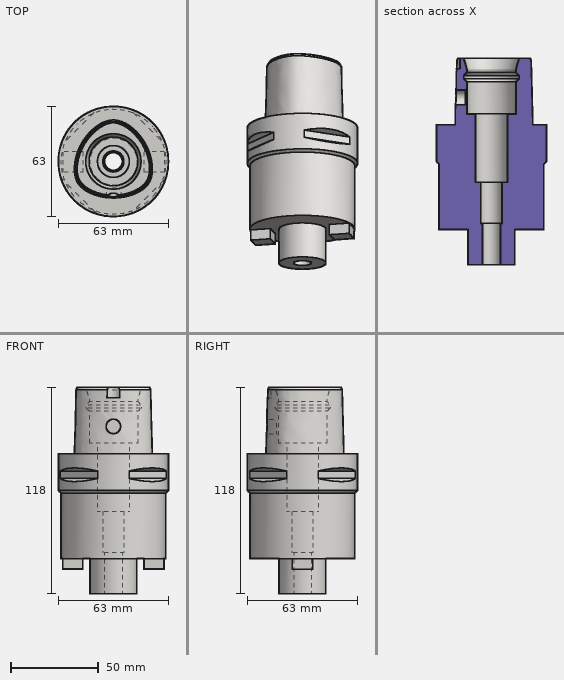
import cadquery as cq
import math

total_height = 118.0
pilot_height = 20.1
shank_height = 38.0
flange_bottom = 57.5
flange_top = total_height - shank_height

flange_radius = 31.5
body_radius = 30.0
pilot_radius = 13.5

shank_taper = 1 / 20
lobe_count = 3
shank_base_radius = 22.3
shank_lobe = 1.4
lobe_curve_points = 48
shank_top_radius = shank_base_radius - shank_height * shank_taper / 2
shank_chamfer_height = 1.4
shank_chamfer_width = 0.7

bore_mouth_radius = 15.8
bore_radius = 13.9
bore_taper_depth = 6.7
bore_lip_depth = 8.1
undercut_flat = 1.7
bore_depth = 31.9
screw_bore_radius = 9.1
screw_bore_depth = 70.8
seat_radius = 6.0
seat_depth = 94.4
through_radius = 5.1

groove_flat_distance = 27.7
groove_floor_height = 4.2
groove_mouth_height = 7.8
groove_drop = 12.0

notch_radius = 4.6
notch_depth = 6.0
notch_inner_y = -18.0
hole_diameter = 8.3
hole_drop = 22.4
hole_floor_y = -14.9

key_inner_x = 17.5
key_outer_x = 29.0
key_width = 11.8
key_height = 6.0


def lobed_wire(mean_radius, height):
    """Closed constant-width curve with its lobes spread evenly, one of them pointing to +Y."""

    points = []
    for step in range(lobe_curve_points):
        angle = 2 * math.pi * step / lobe_curve_points
        support = mean_radius + shank_lobe * math.cos(lobe_count * angle)
        slope = -lobe_count * shank_lobe * math.sin(lobe_count * angle)
        x = -support * math.sin(angle) - slope * math.cos(angle)
        y = support * math.cos(angle) - slope * math.sin(angle)
        points.append(cq.Vector(x, y, height))
    return cq.Wire.assembleEdges([cq.Edge.makeSpline(points, periodic=True)])


def make_shank():
    chamfer_start = total_height - shank_chamfer_height
    base = lobed_wire(shank_base_radius, flange_top)
    shoulder = lobed_wire(shank_top_radius, chamfer_start)
    tip = lobed_wire(shank_top_radius - shank_chamfer_width, total_height)
    return cq.Workplane(cq.Solid.makeLoft([base, shoulder, tip], True))


def make_round_body():
    flange_chamfer = flange_radius - body_radius
    outline = [
        (0, 0),
        (pilot_radius, 0),
        (pilot_radius, pilot_height),
        (body_radius, pilot_height),
        (body_radius, flange_bottom),
        (flange_radius, flange_bottom + flange_chamfer),
        (flange_radius, flange_top),
        (0, flange_top),
    ]
    return cq.Workplane("XZ").polyline(outline).close().revolve(360, (0, 0), (0, 1))


def make_bore():
    undercut_step = bore_mouth_radius - bore_radius
    undercut_top = bore_lip_depth + undercut_step
    undercut_bottom = undercut_top + undercut_flat
    steps = [
        (0, 0),
        (bore_mouth_radius, 0),
        (bore_radius, bore_taper_depth),
        (bore_radius, bore_lip_depth),
        (bore_mouth_radius, undercut_top),
        (bore_mouth_radius, undercut_bottom),
        (bore_radius, undercut_bottom + undercut_step),
        (bore_radius, bore_depth),
        (screw_bore_radius, bore_depth),
        (screw_bore_radius, screw_bore_depth),
        (seat_radius, screw_bore_depth),
        (seat_radius, seat_depth),
        (through_radius, seat_depth),
        (through_radius, total_height),
        (0, total_height),
    ]
    outline = [(radius, total_height - depth) for radius, depth in steps]
    return cq.Workplane("XZ").polyline(outline).close().revolve(360, (0, 0), (0, 1))


def make_gripper_groove(angle):
    """Straight V-sided groove tangent to the flange at the given angle from +X."""
    center = flange_top - groove_drop
    outline = [
        (groove_flat_distance, center - groove_floor_height / 2),
        (flange_radius, center - groove_mouth_height / 2),
        (flange_radius, center + groove_mouth_height / 2),
        (groove_flat_distance, center + groove_floor_height / 2),
    ]
    groove = cq.Workplane("XZ").polyline(outline).close().extrude(flange_radius, both=True)
    return groove.rotate((0, 0, 0), (0, 0, 1), angle)


def make_notch():
    return (
        cq.Workplane("XY", origin=(0, notch_inner_y - notch_radius, total_height))
        .circle(notch_radius)
        .extrude(-notch_depth)
    )


def make_blind_hole():
    return (
        cq.Workplane("XZ", origin=(0, hole_floor_y, total_height - hole_drop))
        .circle(hole_diameter / 2)
        .extrude(flange_radius)
    )


def make_key(side):
    key_length = key_outer_x - key_inner_x
    key_center = (key_inner_x + key_outer_x) / 2
    return (
        cq.Workplane("XY", origin=(side * key_center, 0, pilot_height))
        .rect(key_length, key_width)
        .extrude(-key_height)
    )


result = make_round_body().union(make_shank())
for side in (-1, 1):
    result = result.union(make_key(side))
for angle in (45, 135, 225, 315):
    result = result.cut(make_gripper_groove(angle))
result = result.cut(make_bore()).cut(make_notch()).cut(make_blind_hole())